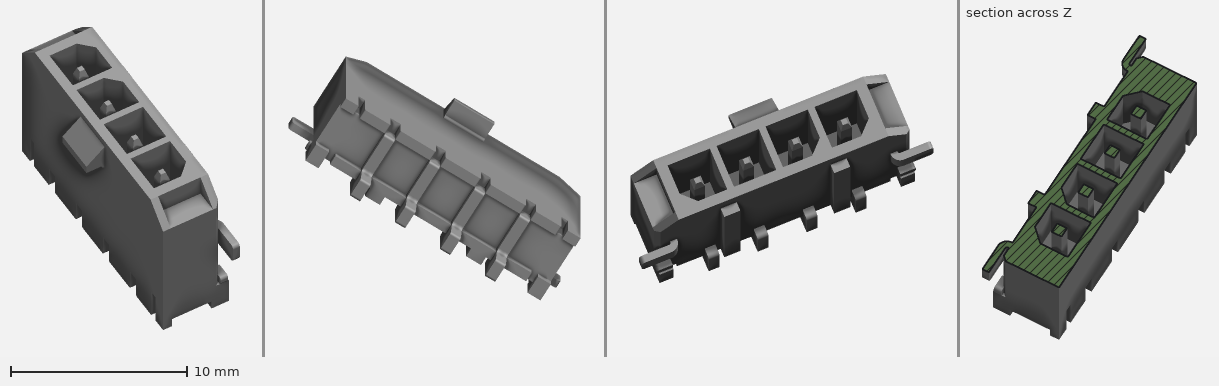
import cadquery as cq


body_half = 7.84
body_depth = 3.8
body_height = 9.88
shoulder = 1.4
back_chamfer = 0.29
wall = 0.59

shoulder_rim = 0.5
shoulder_x = body_half - shoulder
shoulder_floor = body_height - shoulder

pitch = 3.0
contact_count = 4
cavity_size = 2.6
cavity_floor = 2.68
cavity_chamfer = 0.8
key_corners = (-1, -1, 0, 1)
contact_xs = [(i - (contact_count - 1) / 2) * pitch for i in range(contact_count)]
body_mid_y = body_depth / 2

pin_size = 0.66
pin_tip_size = 0.32
pin_tip_length = 0.57
pin_top = 9.29
tail_clearance = 0.04
tail_front = wall + tail_clearance
tail_back = 4.4
tail_top = 1.29
tail_under = -0.1
tail_bottom = -1.52
tail_top_radius = 0.25
tail_toe_radius = 0.15
tail_heel_radius = 0.21
leg_front_top = 3.11
leg_front_bottom = 3.22

channel_height = 0.6
tooth_radius = 0.09
slot_inner = 6.55
slot_outer = 6.98
slot_height = 1.99
contact_slot_height = 1.41
foot_back = 4.33
foot_height = 1.79

rib_inner = 2.88
rib_outer = 3.87
rib_top = 8.7

latch_width = 2.67
latch_reach = 1.2
latch_top = 9.4
latch_nose_top = 8.38
latch_bottom = 7.84
latch_radius = 0.2

tab_tip = 8.95
tab_thickness = 0.45
tab_bottom = 4.64
tab_height = 1.3
tab_corner_radius = 0.23
bend_radius = 0.57
bend_inner_radius = 0.1
ear_tip = 7.95
ear_front = 3.75
ear_back = 4.22
ear_bottom = foot_height
ear_height = 0.57
ear_radius = 0.2


def block(x0, x1, y0, y1, z0, z1):
    """Box between two corners."""
    return cq.Workplane("XY").box(x1 - x0, y1 - y0, z1 - z0, centered=False).translate((x0, y0, z0))


def both_ends(shape):
    """The shape together with its mirror image about the YZ plane."""
    return shape.union(shape.mirror("YZ"))


def make_shell():
    """Solid housing with sloped shoulders, chamfered back edges and end feet."""
    shell = block(-body_half, body_half, 0, body_depth, 0, body_height)
    shell = shell.edges("|Z and >Y").chamfer(back_chamfer)
    slope = (
        cq.Workplane("XZ")
        .moveTo(body_half, shoulder_floor)
        .lineTo(shoulder_x, body_height)
        .lineTo(body_half, body_height)
        .close()
        .extrude(-body_depth)
    )
    recess = block(
        shoulder_x, body_half, shoulder_rim, body_depth - shoulder_rim, shoulder_floor, body_height
    )
    foot = block(slot_outer, body_half, body_depth - wall, foot_back, 0, foot_height)
    return shell.cut(both_ends(slope)).cut(both_ends(recess)).union(both_ends(foot))


def make_cavity(x, key_side):
    """Mating cavity, with one back corner chamfered where key_side is not zero."""
    half = cavity_size / 2
    cavity = block(x - half, x + half, body_mid_y - half, body_mid_y + half, cavity_floor, body_height)
    if key_side < 0:
        cavity = cavity.edges("|Z and >Y and <X").chamfer(cavity_chamfer)
    elif key_side > 0:
        cavity = cavity.edges("|Z and >Y and >X").chamfer(cavity_chamfer)
    return cavity


def cut_underside(shell):
    """Channel along the underside, contact slots, end slots and rounded teeth."""
    channel = block(-body_half, body_half, wall, body_depth - wall, 0, channel_height)
    end_slot = block(slot_inner, slot_outer, 0, wall, 0, slot_height)
    end_gap = block(slot_inner, slot_outer, 0, foot_back, 0, channel_height)
    shell = shell.cut(channel).cut(both_ends(end_slot)).cut(both_ends(end_gap))
    for x in contact_xs:
        shell = shell.cut(block(x - pin_size / 2, x + pin_size / 2, 0, body_depth, 0, contact_slot_height))
    teeth = cq.selectors.BoxSelector(
        (-slot_inner - tooth_radius, -tooth_radius, -tooth_radius),
        (slot_inner + tooth_radius, wall, tooth_radius),
    )
    return shell.edges("|Y").edges(teeth).fillet(tooth_radius)


def make_contact(x):
    """Upright square pin with a tapered tip, and its bent solder tail."""
    pin = (
        cq.Workplane("XY")
        .center(x, body_mid_y)
        .rect(pin_size, pin_size)
        .extrude(pin_top - pin_tip_length)
    )
    tip = (
        cq.Workplane("XY", origin=(x, body_mid_y, pin_top - pin_tip_length))
        .rect(pin_size, pin_size)
        .workplane(offset=pin_tip_length)
        .rect(pin_tip_size, pin_tip_size)
        .loft()
    )
    tail = (
        cq.Workplane("YZ", origin=(x - pin_size / 2, 0, 0))
        .moveTo(tail_front, tail_under)
        .lineTo(leg_front_top, tail_under)
        .lineTo(leg_front_bottom, tail_bottom)
        .lineTo(tail_back, tail_bottom)
        .lineTo(tail_back, tail_top)
        .lineTo(tail_front, tail_top)
        .close()
        .extrude(pin_size)
    )
    tail = tail.edges("|X and <Z").fillet(tail_toe_radius)
    tail = tail.edges("|X and >Z").fillet(tail_top_radius)
    front_toe = cq.selectors.NearestToPointSelector((x, tail_front, tail_under))
    heel = cq.selectors.NearestToPointSelector((x, leg_front_top, tail_under))
    tail = tail.edges("|X").edges(front_toe).fillet(tail_toe_radius)
    tail = tail.edges("|X").edges(heel).fillet(tail_heel_radius)
    return pin.union(tip).union(tail)


def make_latch():
    """Ramped latch on the front face, blended into the face underneath."""
    return (
        cq.Workplane("YZ", origin=(-latch_width / 2, 0, 0))
        .moveTo(0, latch_top)
        .lineTo(-latch_reach, latch_nose_top)
        .lineTo(-latch_reach, latch_bottom)
        .lineTo(-latch_radius, latch_bottom)
        .radiusArc((0, latch_bottom - latch_radius), -latch_radius)
        .close()
        .extrude(latch_width)
    )


def make_tab():
    """Solder tab leaving the back of the housing and bent outwards along X."""
    tab_front = tail_back - tab_thickness
    tab = (
        cq.Workplane("XY", origin=(0, 0, tab_bottom))
        .moveTo(slot_inner, body_depth - wall)
        .lineTo(slot_inner, tail_back - bend_radius)
        .radiusArc((slot_inner + bend_radius, tail_back), bend_radius)
        .lineTo(tab_tip, tail_back)
        .lineTo(tab_tip, tab_front)
        .lineTo(slot_outer + bend_inner_radius, tab_front)
        .radiusArc((slot_outer, tab_front - bend_inner_radius), -bend_inner_radius)
        .lineTo(slot_outer, body_depth - wall)
        .close()
        .extrude(tab_height)
    )
    return tab.edges("|Y and >X").fillet(tab_corner_radius)


def make_ear():
    """Short rounded ear resting on the foot."""
    ear = block(slot_outer, ear_tip, ear_front, ear_back, ear_bottom, ear_bottom + ear_height)
    return ear.edges("|Y and >X").fillet(ear_radius)


housing = make_shell()
for contact_x, corner in zip(contact_xs, key_corners):
    housing = housing.cut(make_cavity(contact_x, corner))
housing = cut_underside(housing)

rib = block(rib_inner, rib_outer, body_depth - wall, foot_back, 0, rib_top)
result = housing.union(both_ends(rib)).union(make_latch())
result = result.union(both_ends(make_tab())).union(both_ends(make_ear()))
for contact_x in contact_xs:
    result = result.union(make_contact(contact_x))